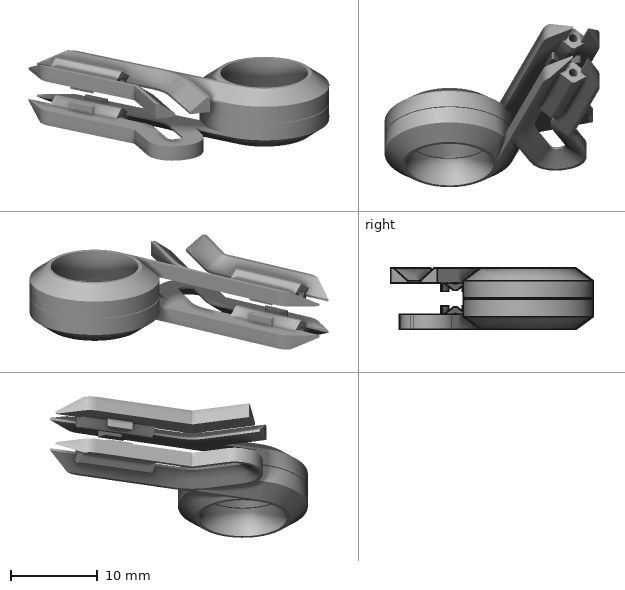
import cadquery as cq
import math

RING_OUTER_D = 15.0
RING_BORE_D = 10.1
PARTING_GAP = 0.1
HALF_HEIGHT = 3.55

BAR_BASE_Z = 1.8
BAR_EDGE_Z = 2.05
CREST_WIDTH = 0.45

BAR_GAP = 1.82
OVERALL_LENGTH = 33.7
BEND_START_X = -10.38
BEND_INNER_RADIUS = 0.25
HANDLE_LENGTH = 6.75
RETURN_START = 4.05
RETURN_STRAIGHT = 0.47
SLANT = math.degrees(math.atan2(3, 4))
TIP_ANGLE = 35.5
TIP_ROUND = 2.43

BLOCK_X = -23.05
BLOCK_LENGTH = 8.95
BLOCK_FLAT_HALF = 0.17
BLOCK_SHOULDER_HALF = 1.45
BLOCK_HALF = 1.72
BLOCK_SHOULDER_Z = 2.63
BLOCK_LOW_Z = 0.95
BLOCK_HOLE_D = 1.05
BLOCK_HOLE_Z = 2.25

TAB_X = -20.05
TAB_LENGTH = 3.03
TAB_INNER_HALF = 0.77
TAB_OUTER_HALF = 1.7
TAB_RIM = 0.2
TAB_LOW_Z = 0.85

RING_R = RING_OUTER_D / 2
BORE_R = RING_BORE_D / 2
BAR_WIDTH = RING_R - BORE_R
EDGE_OFFSET = BAR_GAP / 2
WALL_OFFSET = EDGE_OFFSET + BAR_WIDTH
TIP_X = RING_R - OVERALL_LENGTH
BEND_MID_RADIUS = BEND_INNER_RADIUS + WALL_OFFSET
MID_Y = -RING_R - EDGE_OFFSET
SLOPE = math.tan(math.radians(SLANT))


def bar_section(plane, wall, edge):
    """Bar profile with its tall wall and thin edge at the given local positions."""
    toward_edge = math.copysign(1, edge - wall)
    return plane.polyline([
        (wall, BAR_BASE_Z),
        (edge, BAR_BASE_Z),
        (edge, BAR_EDGE_Z),
        (wall + toward_edge * CREST_WIDTH, HALF_HEIGHT),
        (wall, HALF_HEIGHT),
    ]).close()


def straight_bar(start_x, mid_y, side, length):
    """Bar along +X on one side (+1 or -1) of a midline."""
    plane = cq.Workplane("YZ", origin=(start_x, mid_y, 0))
    return bar_section(plane, side * WALL_OFFSET, side * EDGE_OFFSET).extrude(length)


def pointed_bar(side, end_x):
    """Straight bar from its slanted, rounded tip to end_x."""
    slant = math.radians(TIP_ANGLE)
    wall_y = MID_Y + side * WALL_OFFSET
    edge_y = MID_Y + side * EDGE_OFFSET
    corner_x = TIP_X + BAR_WIDTH / math.tan(slant)
    tangent = TIP_ROUND * math.tan(slant / 2)
    outline = (
        cq.Workplane("XY")
        .moveTo(TIP_X, edge_y)
        .lineTo(corner_x - tangent * math.cos(slant), wall_y - side * tangent * math.sin(slant))
        .tangentArcPoint((corner_x + tangent, wall_y), relative=False)
        .lineTo(end_x, wall_y)
        .lineTo(end_x, edge_y)
        .close()
        .extrude(HALF_HEIGHT)
    )
    return straight_bar(TIP_X, MID_Y, side, end_x - TIP_X).intersect(outline)


def bent_bar(side):
    """Stretch of bar that turns from the +X direction to the handle direction."""
    plane = cq.Workplane("YZ", origin=(BEND_START_X, MID_Y, 0))
    section = bar_section(plane, side * WALL_OFFSET, side * EDGE_OFFSET)
    return section.revolve(SLANT, (-BEND_MID_RADIUS, 0.35), (-BEND_MID_RADIUS, 0))


def place_handle(shape):
    """Move a shape built along +X from the origin to the end of the bend."""
    return (
        shape.translate((BEND_START_X, MID_Y, 0))
        .rotate(
            (BEND_START_X, MID_Y - BEND_MID_RADIUS, 0),
            (BEND_START_X, MID_Y - BEND_MID_RADIUS, 1),
            -SLANT,
        )
    )


def handle_bars(length):
    """Parallel pair of bars after the bend."""
    bars = straight_bar(0, 0, 1, length).union(straight_bar(0, 0, -1, length))
    return place_handle(bars)


def return_bend():
    """U-shaped end that joins the pair of handle bars."""
    half_straight = RETURN_STRAIGHT / 2
    start = cq.Workplane("YZ", origin=(RETURN_START, 0, 0))
    quarter = bar_section(start, WALL_OFFSET, EDGE_OFFSET).revolve(
        90, (half_straight, 0.35), (half_straight, 0)
    )
    middle = bar_section(
        cq.Workplane("XZ", origin=(RETURN_START, half_straight, 0)),
        WALL_OFFSET - half_straight,
        EDGE_OFFSET - half_straight,
    ).extrude(RETURN_STRAIGHT)
    return place_handle(quarter.union(middle).union(quarter.mirror("XZ")))


def half_ring():
    """Ring half: a plain sleeve below, the bar profile above."""
    bottom = cq.Workplane("XY").workplane(offset=PARTING_GAP / 2)
    sleeve = bottom.circle(RING_R).circle(BORE_R).extrude(BAR_BASE_Z - PARTING_GAP / 2)
    rim = bar_section(cq.Workplane("XZ"), BORE_R, RING_R).revolve(360, (0, 0), (0, 1))
    return sleeve.union(rim)


def hinge_block():
    """Hexagonal block across the gap, without its hole."""
    right_side = [
        (BLOCK_FLAT_HALF, HALF_HEIGHT),
        (BLOCK_SHOULDER_HALF, BLOCK_SHOULDER_Z),
        (BLOCK_HALF, BLOCK_SHOULDER_Z),
        (BLOCK_HALF, BAR_BASE_Z),
        (BLOCK_FLAT_HALF + (BAR_BASE_Z - BLOCK_LOW_Z) / SLOPE, BAR_BASE_Z),
        (BLOCK_FLAT_HALF, BLOCK_LOW_Z),
    ]
    left_side = [(-y, z) for y, z in reversed(right_side)]
    plane = cq.Workplane("YZ", origin=(BLOCK_X, MID_Y, 0))
    return plane.polyline(right_side + left_side).close().extrude(BLOCK_LENGTH)


def block_hole():
    """Round hole through the block along X."""
    plane = cq.Workplane("YZ", origin=(BLOCK_X, MID_Y, 0))
    return plane.center(0, BLOCK_HOLE_Z).circle(BLOCK_HOLE_D / 2).extrude(BLOCK_LENGTH)


def dovetail_tab(side):
    """Tab that widens outward from the block, on one side of the midline."""
    rim_half = TAB_OUTER_HALF - TAB_RIM
    inset = (rim_half - TAB_INNER_HALF) * SLOPE
    outline = [
        (0, side * TAB_OUTER_HALF),
        (0, side * rim_half),
        (inset, side * TAB_INNER_HALF),
        (TAB_LENGTH - inset, side * TAB_INNER_HALF),
        (TAB_LENGTH, side * rim_half),
        (TAB_LENGTH, side * TAB_OUTER_HALF),
    ]
    plane = cq.Workplane("XY", origin=(TAB_X, MID_Y, TAB_LOW_Z))
    return plane.polyline(outline).close().extrude(BAR_BASE_Z - TAB_LOW_Z)


def clip_half(handle_length):
    """Upper clip half; its ring side bar runs on to meet the ring tangentially."""
    half = half_ring()
    half = half.union(pointed_bar(1, 0)).union(pointed_bar(-1, BEND_START_X))
    half = half.union(hinge_block())
    for side in (1, -1):
        half = half.union(bent_bar(side)).union(dovetail_tab(side))
    return half.union(handle_bars(handle_length)).cut(block_hole())


upper_half = clip_half(HANDLE_LENGTH)

lower_half = clip_half(RETURN_START).union(return_bend()).mirror("XY")

result = cq.Compound.makeCompound([upper_half.solids().val(), lower_half.solids().val()])